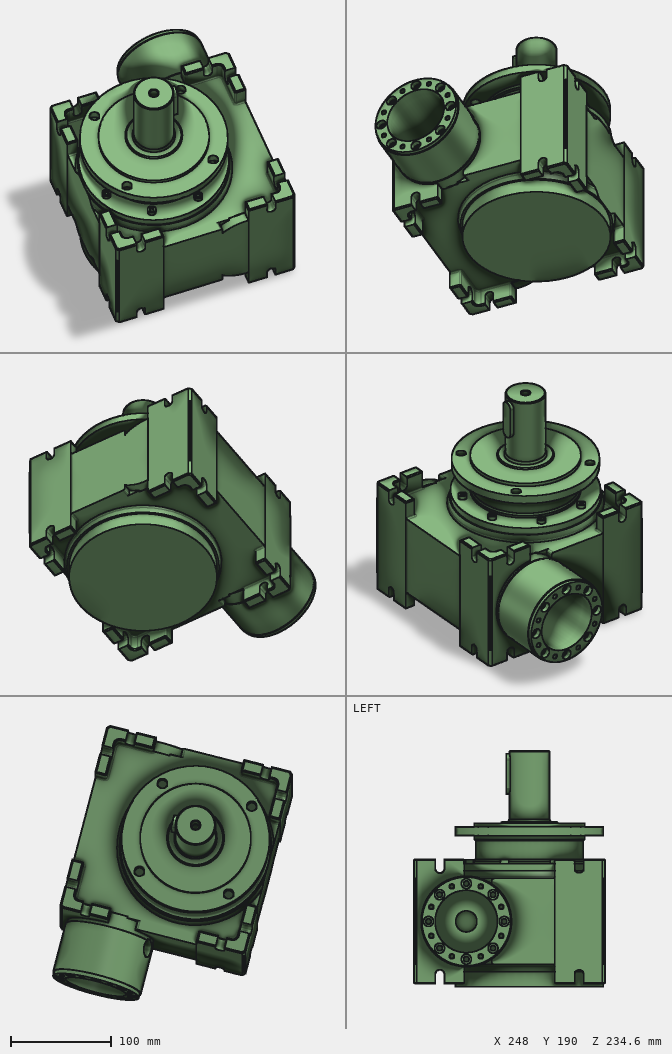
import cadquery as cq
import math


pad_width = 190.0
pad_height = 124.0
front_y = -75.1
centre_y = front_y + pad_width / 2
pad_step = 0.7
body_width = pad_width - 2 * pad_step
body_half_height = 42.7

arm_length = 49.8
arm_thickness = 11.7
inner_corner_radius = 5.0
arm_end_radius = 1.5
corner_chamfer = 2.7
pad_chamfer = 1.2
pad_root_fillet = 1.7
wall_root_fillet = 0.5
slot_width = 9.0
slot_offset = 69.2
slot_centre_z = 52.5
cut_clearance = 2.5
selection_margin = 0.2

boss_base_radius = 78.0
boss_shoulder_radius = 77.1
boss_top_radius = 75.6
boss_shoulder_z = 44.6
boss_top_z = 50.0

flange_diameter = 147.0
base_disc_z = -65.0
bolt_ring_diameter = 149.3
bolt_ring_top_z = 57.5
spigot_diameter = 110.0
neck_diameter = 107.1
spigot_step_z = 60.0
neck_start_z = 62.0
neck_end_z = 80.4
collar_bottom_z = 81.8
flange_bottom_z = 85.3
flange_top_z = 94.0
collar_top_z = 97.7
flange_hole_count = 4
flange_hole_diameter = 10.0
flange_hole_circle = 129.5

seal_diameter = 57.0
seal_top_diameter = 54.3
seal_top_z = 99.0
shoulder_diameter = 42.7
shoulder_top_z = 101.7
shaft_diameter = 40.0
shaft_top_z = 169.6
shaft_chamfer = 1.0
centre_hole_diameter = 8.5
centre_hole_mouth = 10.0
centre_hole_depth = 19.8
drill_point_depth = 2.5

key_width = 12.0
key_bottom_z = 126.5
key_top_z = 166.7
key_outer_y = 23.3

screw_count = 8
screw_circle = 129.0
screw_head_diameter = 8.5
screw_head_height = 4.0
screw_socket_diameter = 5.0
screw_socket_depth = 2.0

input_y = 62.7
overall_length = 248.0
barrel_end_x = pad_width / 2 - overall_length
barrel_diameter = 90.0
barrel_step_diameter = 88.0
barrel_start_x = barrel_end_x + 4.2
barrel_stop_x = -98.7
bore_diameter = 62.0
bore_depth = 74.5
pilot_diameter = 21.0
pilot_depth = 12.5
bolt_count = 8
bolt_circle = 75.1
counterbore_diameter = 10.0
counterbore_depth = 6.2
bolt_hole_diameter = 5.5
bolt_hole_depth = 19.8
tapped_diameter = 4.2
tapped_mouth = 5.0
tapped_mouth_depth = 0.5
tapped_depth = 10.0
side_hole_diameter = 18.0
side_hole_x = -105.5
side_hole_angle = 22.5

relief_depth = 10.5
relief_step_depth = 9.0
relief_step_reach = 14.6
relief_reach = 25.3
relief_rim_radius = 2.2
relief_floor_z = 32.2


def body_block(height):
    return cq.Workplane("XY").box(body_width, body_width, height).translate((0, centre_y, 0))


def edge_near(x, y, z):
    return cq.selectors.NearestToPointSelector((x, y, z))


def revolved(profile):
    """Turn a (radius, z) profile about the shaft axis."""
    return cq.Workplane("XZ").polyline(profile).close().revolve(360, (0, 0), (0, 1))


def four_corners(shape):
    """Repeat a shape at the four corners of the housing."""
    corners = cq.Workplane("XY")
    for quarter in range(4):
        corners = corners.add(shape.rotate((0, 0, 0), (0, 0, 1), 90 * quarter))
    return corners.combine().translate((0, centre_y, 0))


def corner_pad():
    """L-shaped pad at the (-X, -Y) corner of a square centred on the origin."""
    low = -pad_width / 2
    end = low + arm_length
    inner = low + arm_thickness
    outline = [(low, low), (end, low), (end, inner), (inner, inner), (inner, end), (low, end)]
    pad = cq.Workplane("XY").polyline(outline).close().extrude(pad_height / 2, both=True)
    pad = pad.edges(edge_near(inner, inner, 0)).fillet(inner_corner_radius)
    for x, y in ((end, inner), (inner, end)):
        pad = pad.edges(edge_near(x, y, 0)).fillet(arm_end_radius)
    pad = pad.edges(edge_near(low, low, 0)).chamfer(corner_chamfer)
    return pad.faces("|Z").edges().chamfer(pad_chamfer)


def slot_cutter():
    """Round-ended slot through one pad arm, open at the top, running along X."""
    length = arm_thickness + cut_clearance
    x_start = -pad_width / 2 - cut_clearance
    height = pad_height / 2 + cut_clearance - slot_centre_z
    start = (x_start, -slot_offset, slot_centre_z)
    straight = cq.Workplane("XY").box(length, slot_width, height, centered=(False, True, False))
    round_end = cq.Workplane("YZ", origin=start).circle(slot_width / 2).extrude(length)
    return round_end.union(straight.translate(start))


def diagonal_mirror(shape):
    """Swap X and Y."""
    return shape.mirror("YZ").rotate((0, 0, 0), (0, 0, 1), -90)


def pad_slots():
    """Four slots of one pad: one per arm, at the top and the bottom."""
    slot = slot_cutter()
    pair = slot.union(diagonal_mirror(slot))
    return pair.union(pair.mirror("XY"))


def housing():
    """Body with the four corner pads blended into it and slotted."""
    body = body_block(2 * body_half_height).union(four_corners(corner_pad()))
    wall = body_width / 2
    reach = wall - selection_margin
    level = body_half_height + selection_margin
    inside = cq.selectors.BoxSelector(
        (-reach, centre_y - reach, -level),
        (reach, centre_y + reach, level),
    )
    for z in (-body_half_height, body_half_height):
        body = body.faces(edge_near(0, centre_y, z)).edges(inside).fillet(pad_root_fillet)
    arm_end = pad_width / 2 - arm_length
    for side in (-wall, wall):
        for end in (-arm_end, arm_end):
            body = body.edges(edge_near(side, centre_y + end, 0)).fillet(wall_root_fillet)
            body = body.edges(edge_near(end, centre_y + side, 0)).fillet(wall_root_fillet)
    return body.cut(four_corners(pad_slots()))


def relief_pockets():
    """Stepped pockets beside the back pads, at both ends, above and below."""
    y_back = centre_y + pad_width / 2 - arm_length
    height = pad_height / 2 - relief_floor_z

    def pocket(depth, reach):
        length = y_back - input_y + reach
        block = cq.Workplane("XY").box(depth, length, height, centered=(False, False, False))
        return block.translate((-body_width / 2, input_y - reach, relief_floor_z))

    corner = pocket(relief_depth, relief_step_reach).union(pocket(relief_step_depth, relief_reach))
    end_pair = corner.union(corner.mirror("XY"))
    return end_pair.union(end_pair.mirror("YZ"))


def relieve_end_walls(body):
    """Cut the relief pockets and round the rim of their front walls."""
    body = body.cut(relief_pockets())
    rim_x = body_width / 2 - relief_step_depth / 2
    rim_y = input_y - relief_reach
    for z in (-body_half_height, body_half_height):
        for x in (-rim_x, rim_x):
            body = body.edges(edge_near(x, rim_y, z)).fillet(relief_rim_radius)
    return body


def boss():
    """Conical bosses above and below the body, trimmed by its walls."""
    top = revolved([
        (0, 0),
        (boss_base_radius, 0),
        (boss_base_radius, body_half_height),
        (boss_shoulder_radius, boss_shoulder_z),
        (boss_top_radius, boss_top_z),
        (0, boss_top_z),
    ])
    return top.union(top.mirror("XY")).intersect(body_block(2 * pad_height))


def bolt_ring():
    ring = cq.Workplane("XY", origin=(0, 0, boss_top_z)).circle(bolt_ring_diameter / 2)
    return ring.extrude(bolt_ring_top_z - boss_top_z)


def base_disc():
    disc = cq.Workplane("XY", origin=(0, 0, base_disc_z)).circle(flange_diameter / 2)
    return disc.extrude(-boss_top_z - base_disc_z)


def output_flange():
    spigot = spigot_diameter / 2
    neck = neck_diameter / 2
    flange = flange_diameter / 2
    body = revolved([
        (0, boss_top_z),
        (spigot, boss_top_z),
        (spigot, spigot_step_z),
        (neck, neck_start_z),
        (neck, neck_end_z),
        (spigot, collar_bottom_z),
        (spigot, flange_bottom_z),
        (flange, flange_bottom_z),
        (flange, flange_top_z),
        (spigot, flange_top_z),
        (spigot, collar_top_z),
        (0, collar_top_z),
    ])
    holes = (
        cq.Workplane("XY", origin=(0, 0, flange_bottom_z))
        .polarArray(flange_hole_circle / 2, 180 / flange_hole_count, 360, flange_hole_count)
        .circle(flange_hole_diameter / 2)
        .extrude(flange_top_z - flange_bottom_z)
    )
    return body.cut(holes)


def output_shaft():
    """Shaft with its seal ring, key and centre hole."""
    shaft = shaft_diameter / 2
    body = revolved([
        (0, collar_top_z),
        (seal_diameter / 2, collar_top_z),
        (seal_top_diameter / 2, seal_top_z),
        (shoulder_diameter / 2, seal_top_z),
        (shaft, shoulder_top_z),
        (shaft, shaft_top_z - shaft_chamfer),
        (shaft - shaft_chamfer, shaft_top_z),
        (0, shaft_top_z),
    ])
    hole = centre_hole_diameter / 2
    mouth = centre_hole_mouth / 2
    hole_bottom_z = shaft_top_z - centre_hole_depth
    centre_hole = revolved([
        (0, shaft_top_z),
        (mouth, shaft_top_z),
        (hole, shaft_top_z - (mouth - hole)),
        (hole, hole_bottom_z),
        (0, hole_bottom_z - drill_point_depth),
    ])
    key = (
        cq.Workplane("XZ", origin=(0, 0, (key_bottom_z + key_top_z) / 2))
        .slot2D(key_top_z - key_bottom_z, key_width, 90)
        .extrude(-key_outer_y)
    )
    return body.union(key).cut(centre_hole)


def screw_heads():
    """Ring of screw heads with hexagon sockets."""
    def places(z):
        plane = cq.Workplane("XY", origin=(0, 0, z))
        return plane.polarArray(screw_circle / 2, 180 / screw_count, 360, screw_count)

    socket_z = bolt_ring_top_z + screw_head_height - screw_socket_depth
    heads = places(bolt_ring_top_z).circle(screw_head_diameter / 2).extrude(screw_head_height)
    sockets = places(socket_z).polygon(6, screw_socket_diameter).extrude(screw_socket_depth)
    return heads.cut(sockets)


def input_cylinder(diameter, x_from, x_to):
    """Cylinder on the input axis."""
    plane = cq.Workplane("YZ", origin=(x_from, input_y, 0))
    return plane.circle(diameter / 2).extrude(x_to - x_from)


def input_barrel():
    """Stepped barrel, and the stub that shows in the opposite relief pockets."""
    wall = body_width / 2
    neck = input_cylinder(barrel_step_diameter, barrel_end_x, relief_depth - wall)
    sleeve = input_cylinder(barrel_diameter, barrel_start_x, barrel_stop_x)
    stub = input_cylinder(barrel_step_diameter, wall - relief_depth, wall)
    return neck.union(sleeve).union(stub)


def barrel_hole_ring(start_angle, hole):
    """Repeat a hole, drilled along X at the origin, around the barrel's end face."""
    holes = cq.Workplane("XY")
    for index in range(bolt_count):
        angle = start_angle + index * 360 / bolt_count
        placed = hole.translate((barrel_end_x, 0, bolt_circle / 2))
        placed = placed.rotate((0, 0, 0), (1, 0, 0), angle)
        holes = holes.add(placed.translate((0, input_y, 0)))
    return holes.combine()


def barrel_holes():
    """Bore, pilot hole, end-face holes and radial side hole of the barrel."""
    bore_end_x = barrel_end_x + bore_depth
    bore = input_cylinder(bore_diameter, barrel_end_x, bore_end_x)
    pilot = input_cylinder(pilot_diameter, bore_end_x, bore_end_x + pilot_depth)

    face = cq.Workplane("YZ")
    counterbore = face.circle(counterbore_diameter / 2).extrude(counterbore_depth)
    bolt_hole = counterbore.union(face.circle(bolt_hole_diameter / 2).extrude(bolt_hole_depth))
    mouth = cq.Solid.makeCone(
        tapped_mouth / 2, tapped_diameter / 2, tapped_mouth_depth,
        cq.Vector(0, 0, 0), cq.Vector(1, 0, 0),
    )
    tapped_hole = face.circle(tapped_diameter / 2).extrude(tapped_depth).union(cq.Workplane(mouth))

    angle = math.radians(side_hole_angle)
    side_hole = cq.Solid.makeCylinder(
        side_hole_diameter / 2, barrel_diameter,
        cq.Vector(side_hole_x, input_y, 0),
        cq.Vector(0, -math.cos(angle), math.sin(angle)),
    )
    return (
        bore.union(pilot)
        .union(barrel_hole_ring(0, bolt_hole))
        .union(barrel_hole_ring(180 / bolt_count, tapped_hole))
        .union(cq.Workplane(side_hole))
    )


result = (
    relieve_end_walls(housing())
    .union(boss().union(bolt_ring()))
    .union(base_disc())
    .union(output_flange())
    .union(screw_heads())
    .union(output_shaft())
    .union(input_barrel())
    .cut(barrel_holes())
)